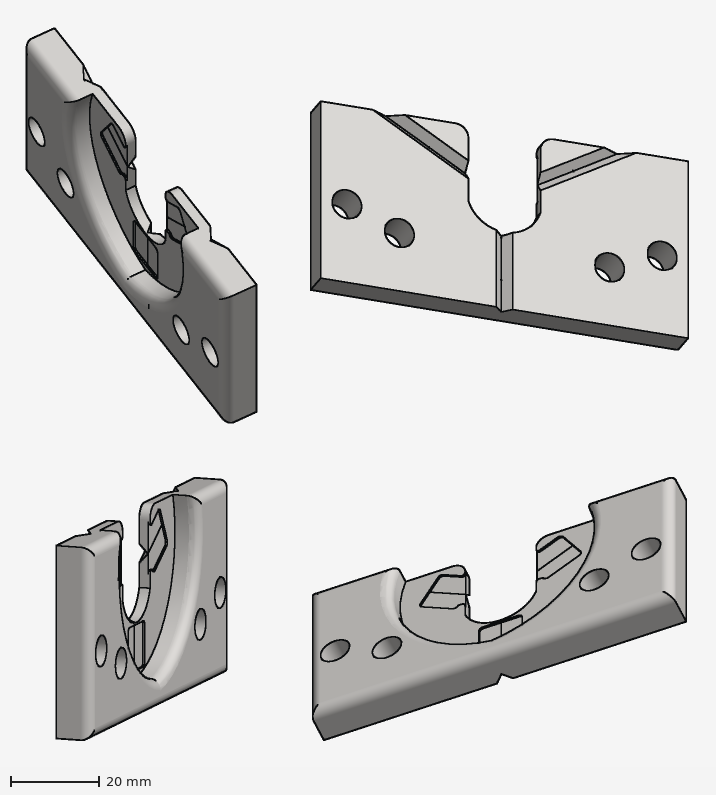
import cadquery as cq
import math

LENGTH = 88.9
THICKNESS = 8.5
HEIGHT = 44.45
TOP = HEIGHT / 2
FRONT = -THICKNESS / 2
BACK = THICKNESS / 2
FRONT_ROUND = 2.5

BASIN_RADIUS = 29.6
BASIN_HALF_WIDTH = 24.6
BASIN_ARC_Z = 13.3
FLOOR_THICKNESS = 2.7
FLOOR_Y = BACK - FLOOR_THICKNESS

HUB_Z = 6.05
SLOT_HALF_WIDTH = 8.7
SLOT_END_RADIUS = 9.2
SLOT_MOUTH_ROUND = 3.2

PAD_SIZE = 10.6
PAD_OUTER_DISTANCE = 20.2
PAD_INNER_DISTANCE = PAD_OUTER_DISTANCE - PAD_SIZE
PAD_DEPTH = 0.45
PAD_CORNER_ROUND = 1.0
SIDE_PAD_ANGLE = math.radians(30)
FLARE = 0.8
TIP_Z = 7.3

GROOVE_WIDTH = 3.9
GROOVE_DEPTH = 2.1
GROOVE_ANGLES = (30, 150, 270)

HOLE_DIAMETER = 7.1
HOLE_PLACES = ((38.1, -2.6), (25.4, -7.65))


def prism(outline, front, back):
    """Extrude a closed XZ outline from y = front to y = back."""
    return outline.extrude(back - front).translate((0, back, 0))


def make_rounded_plate():
    """Plate with rounded front edges."""
    return cq.Workplane("XY").box(LENGTH, THICKNESS, HEIGHT).faces("<Y").edges().fillet(FRONT_ROUND)


def make_flared_disc(center_x):
    """Disc as deep as the basin, whose rim flares out into a rounded lip at the front."""
    lip_y = FRONT + FRONT_ROUND
    lip_radius = BASIN_RADIUS + FRONT_ROUND
    profile = (
        cq.Workplane("XY")
        .moveTo(0, FLOOR_Y)
        .lineTo(BASIN_RADIUS, FLOOR_Y)
        .lineTo(BASIN_RADIUS, lip_y)
        .tangentArcPoint((lip_radius, FRONT), relative=False)
        .lineTo(0, FRONT)
        .close()
    )
    return profile.revolve(360, (0, 0, 0), (0, 1, 0)).translate((center_x, 0, BASIN_ARC_Z))


def make_basin():
    """Overlap of two flared discs set apart along X."""
    disc_offset = BASIN_RADIUS - BASIN_HALF_WIDTH
    return make_flared_disc(disc_offset).intersect(make_flared_disc(-disc_offset))


def make_slot():
    joint_z = HUB_Z - math.sqrt(SLOT_END_RADIUS**2 - SLOT_HALF_WIDTH**2)
    mouth_x = SLOT_HALF_WIDTH + SLOT_MOUTH_ROUND
    mouth_z = TOP - SLOT_MOUTH_ROUND
    outline = (
        cq.Workplane("XZ")
        .moveTo(-SLOT_HALF_WIDTH, mouth_z)
        .lineTo(-SLOT_HALF_WIDTH, joint_z)
        .threePointArc((0, HUB_Z - SLOT_END_RADIUS), (SLOT_HALF_WIDTH, joint_z))
        .lineTo(SLOT_HALF_WIDTH, mouth_z)
        .tangentArcPoint((mouth_x, TOP), relative=False)
        .lineTo(-mouth_x, TOP)
        .radiusArc((-SLOT_HALF_WIDTH, mouth_z), SLOT_MOUTH_ROUND)
        .close()
    )
    return prism(outline, FRONT, BACK)


def make_lower_pad():
    pad_z = HUB_Z - (PAD_INNER_DISTANCE + PAD_OUTER_DISTANCE) / 2
    outline = cq.Workplane("XZ").center(0, pad_z).rect(PAD_SIZE, PAD_SIZE)
    return prism(outline, FLOOR_Y, FLOOR_Y + PAD_DEPTH).edges("|Y").fillet(PAD_CORNER_ROUND)


def pad_point(distance, sideways):
    """XZ point of the right-hand pad, given along and across its radial line."""
    cos, sin = math.cos(SIDE_PAD_ANGLE), math.sin(SIDE_PAD_ANGLE)
    return (distance * cos - sideways * sin, HUB_Z + distance * sin + sideways * cos)


def make_side_pad():
    """Right-hand pocket, open to the slot with both corners of the opening flared."""
    half = PAD_SIZE / 2
    slope = math.tan(SIDE_PAD_ANGLE)
    wall = SLOT_HALF_WIDTH
    outer_top = pad_point(PAD_OUTER_DISTANCE, half)
    outer_bottom = pad_point(PAD_OUTER_DISTANCE, -half)
    inner_bottom = pad_point(PAD_INNER_DISTANCE, -half)
    tip = (inner_bottom[0] - (TIP_Z - inner_bottom[1]) * slope, TIP_Z)
    flare_x = wall + FLARE
    flare_z = outer_top[1] - (outer_top[0] - flare_x) * slope
    outline = (
        cq.Workplane("XZ")
        .moveTo(*outer_top)
        .lineTo(*outer_bottom)
        .lineTo(*inner_bottom)
        .lineTo(*tip)
        .lineTo(flare_x, TIP_Z)
        .tangentArcPoint((wall, TIP_Z - FLARE), relative=False)
        .lineTo(wall, flare_z + FLARE)
        .radiusArc((flare_x, flare_z), -FLARE)
        .close()
    )
    pad = prism(outline, FLOOR_Y, FLOOR_Y + PAD_DEPTH)
    for x, z in (outer_top, outer_bottom, inner_bottom):
        corner = cq.selectors.NearestToPointSelector((x, FLOOR_Y + PAD_DEPTH / 2, z))
        pad = pad.edges("|Y").edges(corner).fillet(PAD_CORNER_ROUND)
    return pad


def make_groove(angle):
    """V groove running outwards from the hub at an angle from +X towards +Z."""
    groove = (
        cq.Workplane("YZ")
        .polyline([(BACK, -GROOVE_WIDTH / 2), (BACK - GROOVE_DEPTH, 0), (BACK, GROOVE_WIDTH / 2)])
        .close()
        .extrude(LENGTH)
    )
    return groove.rotate((0, 0, 0), (0, 1, 0), -angle).translate((0, 0, HUB_Z))


def make_holes():
    places = [(side * x, z) for side in (-1, 1) for x, z in HOLE_PLACES]
    return prism(cq.Workplane("XZ").pushPoints(places).circle(HOLE_DIAMETER / 2), FRONT, BACK)


plate = make_rounded_plate().cut(make_basin())
plate = plate.cut(make_slot())

side_pad = make_side_pad()
for pad in (make_lower_pad(), side_pad, side_pad.mirror("YZ")):
    plate = plate.cut(pad)
for groove_angle in GROOVE_ANGLES:
    plate = plate.cut(make_groove(groove_angle))

result = plate.cut(make_holes())